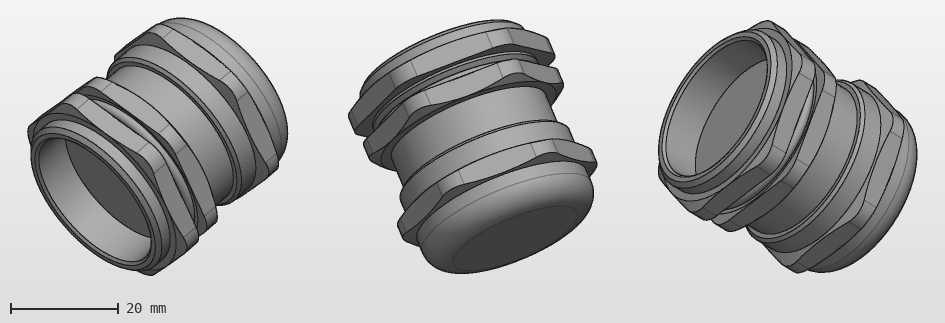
import cadquery as cq
import math


LOCKNUT_FRONT = 3.15
LOCKNUT_BACK = 7.15
THREAD_END = 8.5
BODY_HEX_FRONT = 10.0
BODY_HEX_BACK = 14.0
CAP_FRONT = 21.6
CAP_HEX_FRONT = 26.15
CAP_HEX_BACK = 30.6
OVERALL_LENGTH = 37.65

THREAD_DIAMETER = 33.0
THREAD_CHAMFER = 0.85
BODY_DIAMETER = 31.0
CAP_DIAMETER = 34.0
CAP_EDGE_CHAMFER = 0.6
CAP_DOME_RADIUS = 4.5
SEAL_TUBE_RADIUS = 1.0
SEAL_RECESS_DIAMETER = 34.4
SEAL_BACK = THREAD_END + 2 * SEAL_TUBE_RADIUS
BORE_DIAMETER = 28.3
BORE_DEPTH = 7.8
BORE_CHAMFER = 0.5

LOCKNUT_FLATS = 36.0
BODY_FLATS = 35.0
HEX_CORNER_RADIUS = 5.0
LOCKNUT_CHAMFER_ANGLE = 20.0
BODY_CHAMFER_ANGLE = 30.0
CAP_CHAMFER_ANGLE = 20.0


def cylinder(diameter, start, end):
    """Cylinder about the Y axis between two stations."""
    plane = cq.Plane(origin=(0, start, 0), xDir=(1, 0, 0), normal=(0, 1, 0))
    return cq.Workplane(plane).circle(diameter / 2).extrude(end - start)


def revolve_about_axis(profile):
    """Full turn of a closed XY profile about the Y axis."""
    return profile.revolve(360, (0, 0, 0), (0, 1, 0))


def corner_diameter(flats):
    """Width across the sharp corners of a hexagon."""
    return flats / math.cos(math.pi / 6)


def hexagon(flats, start, end):
    """Hexagonal prism with rounded corners, two of its corners on the X axis."""
    plane = cq.Plane(origin=(0, start, 0), xDir=(1, 0, 0), normal=(0, 1, 0))
    prism = cq.Workplane(plane).polygon(6, corner_diameter(flats)).extrude(end - start)
    return prism.edges("|Y").fillet(HEX_CORNER_RADIUS)


def chamfer_cone(face_diameter, flats, angle, face, direction):
    """Cone starting at face_diameter on the face and widening along Y to clear the hexagon corners."""
    reach_diameter = corner_diameter(flats)
    depth = (reach_diameter - face_diameter) / 2 * math.tan(math.radians(angle))
    profile = (
        cq.Workplane("XY")
        .moveTo(0, face)
        .lineTo(face_diameter / 2, face)
        .lineTo(reach_diameter / 2, face + direction * depth)
        .lineTo(reach_diameter / 2, face + direction * OVERALL_LENGTH)
        .lineTo(0, face + direction * OVERALL_LENGTH)
        .close()
    )
    return revolve_about_axis(profile)


def make_locknut():
    """Hexagonal locknut, chamfered on its thread-end face."""
    nut = hexagon(LOCKNUT_FLATS, LOCKNUT_FRONT, LOCKNUT_BACK)
    cone = chamfer_cone(LOCKNUT_FLATS, LOCKNUT_FLATS, LOCKNUT_CHAMFER_ANGLE, LOCKNUT_FRONT, 1)
    return nut.intersect(cone)


def make_body_hex():
    """Body hexagon, chamfered at the back and recessed at the front for the seal."""
    body_hex = hexagon(BODY_FLATS, BODY_HEX_FRONT, BODY_HEX_BACK)
    cone = chamfer_cone(BODY_FLATS, BODY_FLATS, BODY_CHAMFER_ANGLE, BODY_HEX_BACK, -1)
    recess = cylinder(SEAL_RECESS_DIAMETER, BODY_HEX_FRONT, SEAL_BACK)
    return body_hex.intersect(cone).cut(recess)


def make_cap_hex():
    """Cap hexagon, chamfered on both faces down to the cap diameter."""
    cap_hex = hexagon(BODY_FLATS, CAP_HEX_FRONT, CAP_HEX_BACK)
    for face, direction in ((CAP_HEX_FRONT, 1), (CAP_HEX_BACK, -1)):
        cone = chamfer_cone(CAP_DIAMETER, BODY_FLATS, CAP_CHAMFER_ANGLE, face, direction)
        cap_hex = cap_hex.intersect(cone)
    return cap_hex


def make_cap():
    """Round clamping cap with a domed back edge."""
    cap = cylinder(CAP_DIAMETER, CAP_FRONT, OVERALL_LENGTH)
    cap = cap.faces(">Y").edges().fillet(CAP_DOME_RADIUS)
    return cap.faces("<Y").edges().chamfer(CAP_EDGE_CHAMFER)


def make_seal_ring():
    """Round seal sunk into the recess of the body hexagon, touching the thread end."""
    outer_radius = THREAD_DIAMETER / 2
    tube_center_radius = outer_radius - SEAL_TUBE_RADIUS
    profile = (
        cq.Workplane("XY")
        .moveTo(0, THREAD_END)
        .lineTo(tube_center_radius, THREAD_END)
        .threePointArc((outer_radius, THREAD_END + SEAL_TUBE_RADIUS), (tube_center_radius, SEAL_BACK))
        .lineTo(0, SEAL_BACK)
        .close()
    )
    return revolve_about_axis(profile)


def make_bore():
    """Blind bore from the thread end, with a chamfered mouth."""
    radius = BORE_DIAMETER / 2
    profile = (
        cq.Workplane("XY")
        .moveTo(0, 0)
        .lineTo(radius + BORE_CHAMFER, 0)
        .lineTo(radius, BORE_CHAMFER)
        .lineTo(radius, BORE_DEPTH)
        .lineTo(0, BORE_DEPTH)
        .close()
    )
    return revolve_about_axis(profile)


def make_thread():
    """Plain connecting thread cylinder, chamfered at both ends."""
    thread = cylinder(THREAD_DIAMETER, 0, THREAD_END)
    return thread.faces("<Y or >Y").edges().chamfer(THREAD_CHAMFER)


core = cylinder(BODY_DIAMETER, THREAD_END, CAP_FRONT)

result = make_thread().union(core)
for section in (make_seal_ring(), make_body_hex(), make_locknut(), make_cap(), make_cap_hex()):
    result = result.union(section)
result = result.cut(make_bore())